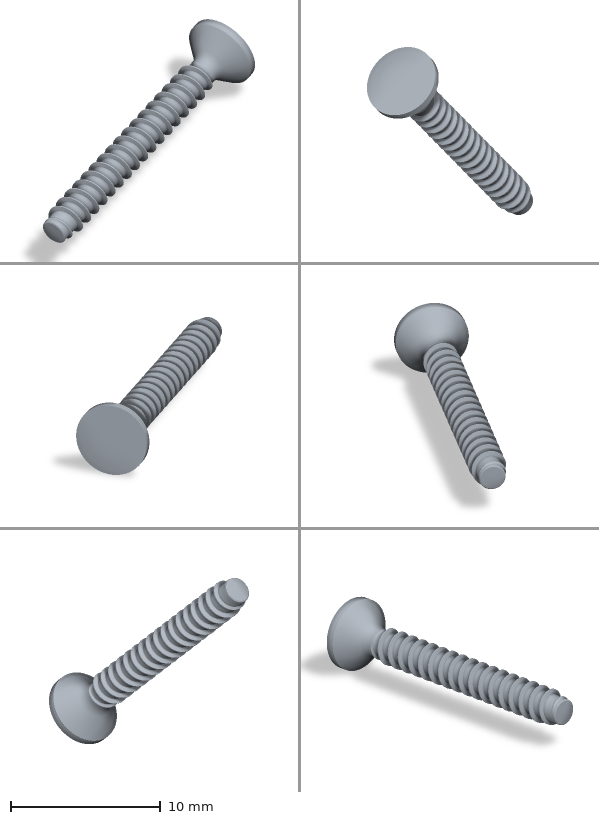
import cadquery as cq
import math


total_length = 20.0
head_diameter = 5.0
head_rim_height = 0.55
neck_radius = 0.95
neck_fillet_radius = 1.0
neck_end_depth = 2.7
neck_taper_length = 0.3
core_radius = 0.9

tip_chamfer_width = 0.08
tip_chamfer_length = 0.05
tip_point_height = 0.05

thread_pitch = 0.95
thread_radius = 1.25
crest_width = 0.08
head_flank_reach = 0.18
tip_flank_reach = 0.15
flare_reach = 0.52
flare_height = 0.05
thread_sink = 0.02

turn_reference_depth = 2.42
thread_start_turn = -0.3
full_start_turn = 1
full_turns = 16
thread_end_turn = 18.3
buried_height_share = 0.04
points_per_turn = 12

head_radius = head_diameter / 2
fillet_angle = math.radians(45)
cone_end_radius = neck_radius + neck_fillet_radius * (1 - math.cos(fillet_angle))
cone_end_depth = head_rim_height + head_radius - cone_end_radius
fillet_end_depth = cone_end_depth + neck_fillet_radius * math.sin(fillet_angle)
tip_shoulder_depth = total_length - tip_point_height
chamfer_start_depth = tip_shoulder_depth - tip_chamfer_length
root_radius = core_radius - thread_sink
crest_height = thread_radius - root_radius
flare_run = (flare_reach - tip_flank_reach) / flare_height
head_flank_run = (head_flank_reach - crest_width / 2) / (thread_radius - core_radius)
full_end_turn = full_start_turn + full_turns


def make_blank():
    """Revolve the head, neck, core and tip about Y."""
    mid_angle = fillet_angle / 2
    fillet_mid = (
        neck_radius + neck_fillet_radius * (1 - math.cos(mid_angle)),
        -(fillet_end_depth - neck_fillet_radius * math.sin(mid_angle)),
    )
    return (
        cq.Workplane("XY")
        .lineTo(head_radius, 0)
        .lineTo(head_radius, -head_rim_height)
        .lineTo(cone_end_radius, -cone_end_depth)
        .threePointArc(fillet_mid, (neck_radius, -fillet_end_depth))
        .lineTo(neck_radius, -neck_end_depth)
        .lineTo(core_radius, -(neck_end_depth + neck_taper_length))
        .lineTo(core_radius, -chamfer_start_depth)
        .lineTo(core_radius - tip_chamfer_width, -tip_shoulder_depth)
        .lineTo(0, -total_length)
        .close()
        .revolve(360, (0, 0, 0), (0, 1, 0))
    )


thread_profile = [
    (-head_flank_reach - head_flank_run * thread_sink, 0),
    (-crest_width / 2, crest_height),
    (crest_width / 2, crest_height),
    (tip_flank_reach, thread_sink + flare_height),
    (flare_reach + flare_run * thread_sink, 0),
]


def thread_point(turn, offset, height):
    """Place a profile point on the helix."""
    angle = 2 * math.pi * turn
    radius = root_radius + height
    depth = turn_reference_depth + thread_pitch * turn + offset
    return cq.Vector(-radius * math.sin(angle), -depth, radius * math.cos(angle))


def profile_face(turn, share):
    """Close the thread with its cross-section, at a share of the full height."""
    corners = [thread_point(turn, offset, height * share) for offset, height in thread_profile]
    return cq.Face.makeFromWires(cq.Wire.makePolygon(corners, close=True))


def helical_faces(start_turn, end_turn, start_share, end_share):
    """Skin a length of thread whose height changes evenly between two shares of the full height."""
    steps = math.ceil((end_turn - start_turn) * points_per_turn)

    def helical_edge(offset, height):
        points = []
        for step in range(steps + 1):
            progress = step / steps
            turn = start_turn + (end_turn - start_turn) * progress
            share = start_share + (end_share - start_share) * progress
            points.append(thread_point(turn, offset, height * share))
        return cq.Edge.makeSpline(points)

    edges = [helical_edge(offset, height) for offset, height in thread_profile]
    next_edges = edges[1:] + edges[:1]
    return [cq.Face.makeRuledSurface(edge, other) for edge, other in zip(edges, next_edges)]


def make_thread():
    """Join the growing lead-in, the full turns and the fading run-out into one solid."""
    faces = [profile_face(thread_start_turn, buried_height_share)]
    faces += helical_faces(thread_start_turn, full_start_turn, buried_height_share, 1)
    for turn in range(full_turns):
        faces += helical_faces(full_start_turn + turn, full_start_turn + turn + 1, 1, 1)
    faces += helical_faces(full_end_turn, thread_end_turn, 1, buried_height_share)
    faces.append(profile_face(thread_end_turn, buried_height_share))
    return cq.Workplane(cq.Solid.makeSolid(cq.Shell.makeShell(faces)))


def make_thread_limit():
    """Cylinder that cuts the thread off square at the neck and just short of the tip chamfer."""
    return (
        cq.Workplane("XZ", origin=(0, -neck_end_depth, 0))
        .circle(head_radius)
        .extrude(chamfer_start_depth - neck_end_depth)
    )


result = make_blank().union(make_thread().intersect(make_thread_limit()))